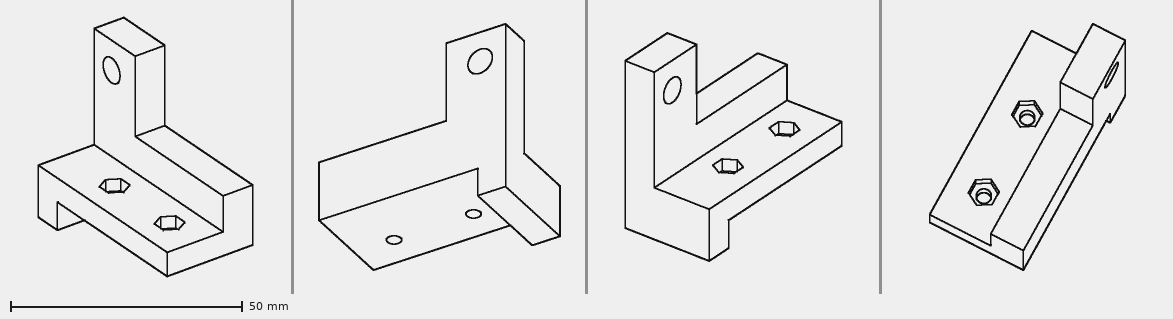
import cadquery as cq

length = 47.0
depth = 23.0
height = 42.0

plate_thickness = 6.0
lip_length = 7.0
lip_height = 7.0
plate_top = lip_height + plate_thickness

wall_thickness = 8.0
wall_top = 22.0
upright_width = 15.0

cross_hole_diameter = 6.15
cross_hole_x = 6.4
cross_hole_z = 34.5

screw_diameter = 3.3
nut_corner_diameter = 6.65
nut_pocket_depth = 3.0
first_screw_x = 17.0
screw_pitch = 20.0
screw_y = 8.0
screw_points = [(first_screw_x + i * screw_pitch, screw_y) for i in range(2)]


def block(x_size, y_start, z_start, z_end):
    """Box starting at the left end and reaching the back face."""
    size = (x_size, depth - y_start, z_end - z_start)
    return cq.Workplane("XY").box(*size, centered=False).translate((0, y_start, z_start))


def make_body():
    wall_front = depth - wall_thickness
    lip = block(lip_length, 0, 0, plate_top)
    plate = block(length, 0, lip_height, plate_top)
    wall = block(length, wall_front, lip_height, wall_top)
    upright = block(upright_width, wall_front, lip_height, height)
    return plate.union(lip).union(wall).union(upright).clean()


def make_cross_hole():
    return (
        cq.Workplane("XZ")
        .center(cross_hole_x, cross_hole_z)
        .circle(cross_hole_diameter / 2)
        .extrude(-depth)
    )


def make_screw_holes():
    return (
        cq.Workplane("XY")
        .pushPoints(screw_points)
        .circle(screw_diameter / 2)
        .extrude(plate_top)
    )


def make_nut_pockets():
    return (
        cq.Workplane("XY", origin=(0, 0, plate_top - nut_pocket_depth))
        .pushPoints(screw_points)
        .polygon(6, nut_corner_diameter)
        .extrude(nut_pocket_depth)
    )


result = make_body().cut(make_cross_hole()).cut(make_screw_holes()).cut(make_nut_pockets())